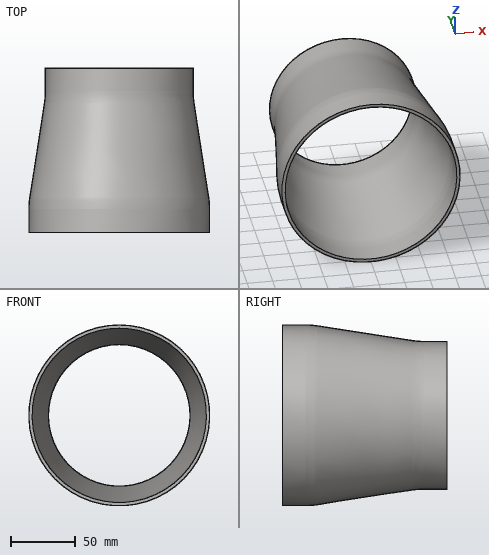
import cadquery as cq
import math

large_diameter = 139.7
small_diameter = 114.3
large_bore = 134.5
length = 127.0
collar_length = 18.0
bend_radius = 58.7

large_radius = large_diameter / 2
small_radius = small_diameter / 2
wall = (large_diameter - large_bore) / 2

radial_drop = large_radius - small_radius
centre_offset_axial = length - 2 * collar_length
centre_offset_radial = 2 * bend_radius - radial_drop
centre_distance = math.hypot(centre_offset_axial, centre_offset_radial)
cone_angle = (
    math.atan2(centre_offset_axial, centre_offset_radial)
    - math.acos(2 * bend_radius / centre_distance)
)
bend_length = bend_radius * math.sin(cone_angle)
bend_drop = bend_radius * (1 - math.cos(cone_angle))

y_large_end = -length / 2
y_large_bend = y_large_end + collar_length
y_cone_start = y_large_bend + bend_length
y_small_end = length / 2
y_small_bend = y_small_end - collar_length
y_cone_end = y_small_bend - bend_length


def reducer_body(inset):
    """Solid of revolution about Y whose radii are reduced by inset."""
    large = large_radius - inset
    small = small_radius - inset
    return (
        cq.Workplane("YZ")
        .moveTo(y_large_end, 0)
        .lineTo(y_large_end, large)
        .lineTo(y_large_bend, large)
        .tangentArcPoint((y_cone_start, large - bend_drop), relative=False)
        .lineTo(y_cone_end, small + bend_drop)
        .tangentArcPoint((y_small_bend, small), relative=False)
        .lineTo(y_small_end, small)
        .lineTo(y_small_end, 0)
        .close()
        .revolve(360, (0, 0, 0), (1, 0, 0))
    )


result = reducer_body(0).cut(reducer_body(wall))